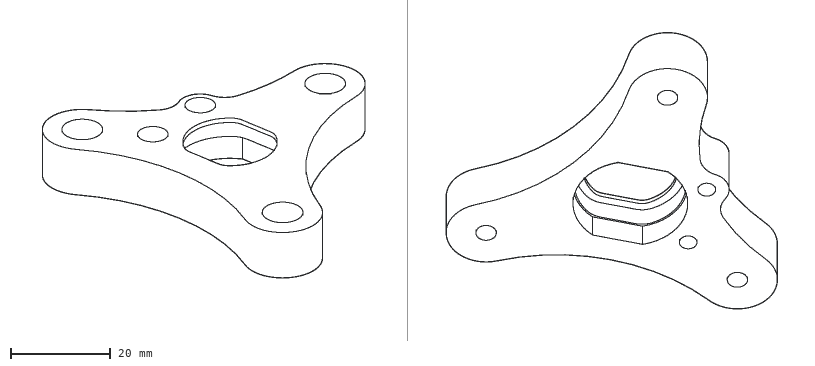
import cadquery as cq
import math

thickness = 10.5
lobe_circle_radius = 30.0
lobe_radius = 8.0
waist_distance = 16.0
lobe_angles = (90, 210, 330)

lobe_hole_diameter = 4.1
lobe_bore_diameter = 8.15
lobe_bore_depth = 4.7
side_hole_diameter = 3.5
side_bore_diameter = 6.1
side_hole_x = -13.85
side_hole_y = 7.5

boss_radius = 4.5
boss_blend_radius = 5.0

rim_radius = 9.45
rim_flat_distance = 8.2
rim_corner_radius = 3.4
rim_thickness = 1.0
middle_offset = 1.7
lower_offset = 2.05
middle_corner_radius = 5.1
lower_pocket_height = 5.3
side_bore_depth = thickness - lower_pocket_height


def polar(radius, angle):
    return (radius * math.cos(math.radians(angle)), radius * math.sin(math.radians(angle)))


def make_plate():
    half_span = lobe_circle_radius * math.sin(math.radians(60))
    lobe_drop = lobe_circle_radius * math.cos(math.radians(60))
    gap = waist_distance - lobe_drop
    side_radius = (half_span**2 + gap**2 - lobe_radius**2) / (2 * (lobe_radius - gap))
    tangent_angle = math.degrees(math.asin(half_span / (side_radius + lobe_radius)))

    def lobe_point(lobe_angle, turn):
        center_x, center_y = polar(lobe_circle_radius, lobe_angle)
        offset_x, offset_y = polar(lobe_radius, lobe_angle + turn)
        return (center_x + offset_x, center_y + offset_y)

    lobe_turn = 60 + tangent_angle
    outline = cq.Workplane("XY").moveTo(*lobe_point(lobe_angles[0], -lobe_turn))
    for angle in lobe_angles:
        outline = outline.threePointArc(lobe_point(angle, 0), lobe_point(angle, lobe_turn))
        next_lobe_start = lobe_point(angle + 120, -lobe_turn)
        outline = outline.threePointArc(polar(waist_distance, angle + 60), next_lobe_start)
    return outline.close().extrude(thickness)


def add_boss(plate):
    boss = cq.Workplane("XY").center(side_hole_x, side_hole_y).circle(boss_radius).extrude(thickness)
    reach = boss_radius + 0.7
    around_boss = cq.selectors.BoxSelector(
        (side_hole_x - reach, side_hole_y - reach, 0),
        (side_hole_x + reach, side_hole_y + reach, thickness),
    )
    return plate.union(boss).edges("|Z").edges(around_boss).fillet(boss_blend_radius)


def flatted_opening(radius, flat_distance, height):
    flats = cq.Workplane("XY").rect(2 * radius + 0.7, 2 * flat_distance).extrude(height)
    return cq.Workplane("XY").circle(radius).extrude(height).intersect(flats)


def cut_opening(plate):
    lower = flatted_opening(
        rim_radius + lower_offset,
        rim_flat_distance + lower_offset,
        lower_pocket_height,
    )
    middle = flatted_opening(
        rim_radius + middle_offset,
        rim_flat_distance + middle_offset,
        thickness - rim_thickness,
    )
    rim = flatted_opening(rim_radius, rim_flat_distance, thickness)
    middle = middle.edges("|Z").fillet(middle_corner_radius)
    rim = rim.edges("|Z").fillet(rim_corner_radius)
    return plate.cut(lower).cut(middle).cut(rim)


def cut_holes(plate):
    lobe_centers = [polar(lobe_circle_radius, angle) for angle in lobe_angles]
    side_centers = [(side_hole_x, side_hole_y), (side_hole_x, -side_hole_y)]
    top = cq.Workplane("XY").workplane(offset=thickness)
    for centers, hole, bore, depth in (
        (lobe_centers, lobe_hole_diameter, lobe_bore_diameter, lobe_bore_depth),
        (side_centers, side_hole_diameter, side_bore_diameter, side_bore_depth),
    ):
        plate = plate.cut(top.pushPoints(centers).circle(hole / 2).extrude(-thickness))
        plate = plate.cut(top.pushPoints(centers).circle(bore / 2).extrude(-depth))
    return plate


result = cut_holes(cut_opening(add_boss(make_plate())))